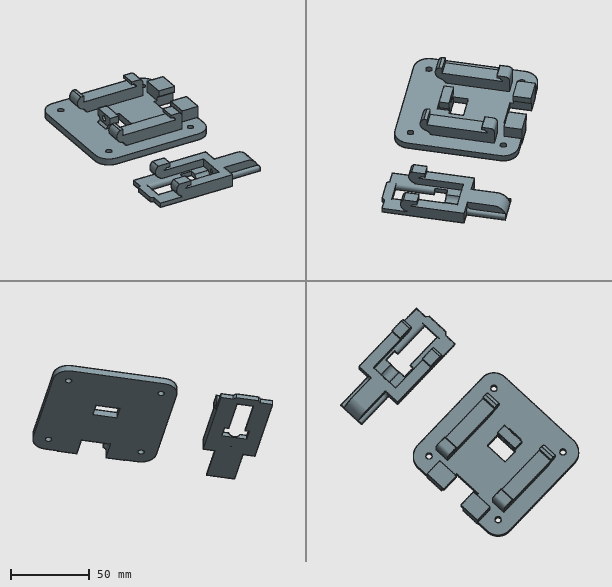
import cadquery as cq
import math

plate_size = 80.0
plate_thickness = 4.5
plate_corner_radius = 10.0
screw_spacing = 60.0
screw_diameter = 4.0

notch_half_width = 9.4
notch_front_y = 26.4
block_inner_x = 7.4
block_outer_x = 21.85
block_front_y = 28.7
block_rear_y = 40.4
block_top_z = 12.5

channel_radius = 2.15
channel_x = notch_half_width - channel_radius
channel_z = 6.0

rail_center_x = 24.45
rail_width = 10.0
rail_top_z = 16.8
rail_floor_z = 12.5
rail_rear_y = 24.1
rail_rear_radius = 2.8
rail_hook_tip_y = 15.9
rail_hook_tip_thickness = 2.0
rail_hook_flat = 1.8
rail_throat_y = 19.4
rail_lip_y = -19.3
rail_nose_y = -23.9
rail_nose_radius = 5.0

rail_hollow_top_z = 7.8
rail_hollow_mid = (-18.2, 6.3)
rail_foot_y = -17.1

window_half_width = 7.75
window_rear_y = -0.2
lug_half_width = 7.6
lug_rear_y = -9.6
lug_front_y = -15.9
lug_top_z = 13.0
lug_hole_diameter = 3.5
lug_hole_z = 9.3
lug_foot_y = -17.7
lug_foot_rise = 1.4

latch_center_x = 84.57
latch_half_width = 16.8
latch_base_thickness = 3.2
latch_frame_height = 8.5
latch_shoulder_y = 18.9
latch_front_y = -34.2

nub_front_y = -36.0
nub_back_half_width = 8.8
nub_front_half_width = 7.2

recess_half_width = 9.63
recess_rear_y = 13.1
opening_half_width = 8.04
opening_rear_y = 3.2
slot_top_half_width = 7.4
slot_half_width = 5.3
slot_rear_y = -4.8
slot_front_y = -29.8
slot_edge_radius = slot_top_half_width - slot_half_width

spring_seat_radius = 3.85
spring_axis_z = 4.5
spring_pin_diameter = 2.5
spring_pin_depth = 5.0

tongue_half_width = 6.2
tongue_tip_y = plate_size / 2 + 3.94
tongue_nose_radius = 8.57
rod_outer_x = 9.07
rod_edge_radius = 1.6
rod_top_z = 3.0
rod_bend_radius = 2.7

hook_top_z = 13.0
hook_tip_y = -11.6
hook_tip_thickness = 3.0
hook_flat = 2.4
hook_throat_y = -15.5
hook_nose_y = -22.2
hook_nose_z = 8.9
hook_nose_radius = 5.3
hook_hollow_top_z = 4.2
hook_hollow_mid = (-18.8, 3.85)
hook_foot_y = -18.2


def box(x0, x1, y0, y1, z0, z1):
    """Block between two opposite corners."""
    return cq.Workplane("XY").box(x1 - x0, y1 - y0, z1 - z0, centered=False).translate((x0, y0, z0))


def bar_along_y(x, z, radius, y0, y1):
    """Cylinder parallel to Y."""
    return cq.Workplane("XZ", origin=(0, y0, 0)).center(x, z).circle(radius).extrude(y0 - y1)


def nose_y(tip_y, center_z, radius, z):
    """Y at height z on a round nose whose tip is at (tip_y, center_z)."""
    return tip_y + radius - math.sqrt(radius**2 - (z - center_z) ** 2)


def make_rail(center_x):
    """Rail with an undercut hook at the rear and a round-nosed lip at the front."""
    nose_top_y = nose_y(rail_nose_y, rail_floor_z, rail_nose_radius, rail_top_z)
    hollow_top_y = nose_y(rail_nose_y, rail_floor_z, rail_nose_radius, rail_hollow_top_z)
    hook_under_z = rail_top_z - rail_hook_tip_thickness
    hook_flat_y = rail_hook_tip_y + rail_hook_flat
    slope_foot_z = hook_under_z - (rail_throat_y - hook_flat_y)
    arc_shift = rail_rear_radius * (1 - math.sqrt(0.5))
    profile = (
        cq.Workplane("YZ", origin=(center_x - rail_width / 2, 0, 0))
        .moveTo(rail_rear_y, plate_thickness)
        .lineTo(rail_rear_y, rail_top_z - rail_rear_radius)
        .threePointArc(
            (rail_rear_y - arc_shift, rail_top_z - arc_shift),
            (rail_rear_y - rail_rear_radius, rail_top_z),
        )
        .lineTo(rail_hook_tip_y, rail_top_z)
        .lineTo(rail_hook_tip_y, hook_under_z)
        .lineTo(hook_flat_y, hook_under_z)
        .lineTo(rail_throat_y, slope_foot_z)
        .lineTo(rail_throat_y, rail_floor_z)
        .lineTo(rail_lip_y, rail_floor_z)
        .lineTo(rail_lip_y, rail_top_z)
        .lineTo(nose_top_y, rail_top_z)
        .threePointArc((rail_nose_y, rail_floor_z), (hollow_top_y, rail_hollow_top_z))
        .threePointArc(rail_hollow_mid, (rail_foot_y, plate_thickness))
        .close()
    )
    return profile.extrude(rail_width)


def make_lug():
    """Drilled lug with a sloped foot, hollowed along both lower sides."""
    foot_top_z = plate_thickness + lug_foot_rise
    lug = (
        cq.Workplane("YZ", origin=(-lug_half_width, 0, 0))
        .moveTo(lug_rear_y, plate_thickness)
        .lineTo(lug_rear_y, lug_top_z)
        .lineTo(lug_front_y, lug_top_z)
        .lineTo(lug_front_y, foot_top_z)
        .lineTo(lug_foot_y, plate_thickness)
        .close()
        .extrude(2 * lug_half_width)
    )
    lug = lug.cut(bar_along_y(0, lug_hole_z, lug_hole_diameter / 2, lug_foot_y, lug_rear_y))
    for side in (-1, 1):
        x0, x1 = sorted((side * (channel_x - channel_radius), side * notch_half_width))
        lug = lug.cut(bar_along_y(side * channel_x, channel_z, channel_radius, lug_foot_y, lug_rear_y))
        lug = lug.cut(box(x0, x1, lug_foot_y, lug_rear_y, plate_thickness, channel_z))
    return lug


def make_base():
    """Plate with guide blocks, clamping rails, window and lug."""
    base = (
        cq.Workplane("XY")
        .rect(plate_size, plate_size)
        .extrude(plate_thickness)
        .edges("|Z")
        .fillet(plate_corner_radius)
    )
    for side in (-1, 1):
        x0, x1 = sorted((side * block_inner_x, side * block_outer_x))
        base = base.union(box(x0, x1, block_front_y, block_rear_y, 0, block_top_z))
    base = base.cut(box(-notch_half_width, notch_half_width, notch_front_y, block_rear_y, 0, channel_z))
    for side in (-1, 1):
        base = base.cut(bar_along_y(side * channel_x, channel_z, channel_radius, block_front_y, block_rear_y))
        base = base.union(make_rail(side * rail_center_x))
    base = base.cut(
        box(-window_half_width, window_half_width, lug_rear_y, window_rear_y, 0, plate_thickness)
    )
    base = base.union(make_lug())
    screw_holes = (
        cq.Workplane("XY")
        .rect(screw_spacing, screw_spacing, forConstruction=True)
        .vertices()
        .circle(screw_diameter / 2)
        .extrude(plate_thickness)
    )
    return base.cut(screw_holes)


def make_hook(x0, x1):
    """Frame side arm between x0 and x1, ending in a hook at the front."""
    nose_top_y = nose_y(hook_nose_y, hook_nose_z, hook_nose_radius, hook_top_z)
    hollow_top_y = nose_y(hook_nose_y, hook_nose_z, hook_nose_radius, hook_hollow_top_z)
    hook_under_z = hook_top_z - hook_tip_thickness
    profile = (
        cq.Workplane("YZ", origin=(x0, 0, 0))
        .moveTo(latch_shoulder_y, 0)
        .lineTo(latch_shoulder_y, latch_frame_height)
        .lineTo(hook_throat_y, latch_frame_height)
        .lineTo(hook_tip_y - hook_flat, hook_under_z)
        .lineTo(hook_tip_y, hook_under_z)
        .lineTo(hook_tip_y, hook_top_z)
        .lineTo(nose_top_y, hook_top_z)
        .threePointArc((hook_nose_y, hook_nose_z), (hollow_top_y, hook_hollow_top_z))
        .threePointArc(hook_hollow_mid, (hook_foot_y, latch_base_thickness))
        .lineTo(hook_foot_y, 0)
        .close()
    )
    return profile.extrude(x1 - x0)


def make_tongue():
    """Tongue whose tip is an arc centred on its bottom face."""
    nose_center_y = tongue_tip_y - tongue_nose_radius
    top_end_angle = math.asin(latch_frame_height / tongue_nose_radius)
    mid_angle = top_end_angle / 2
    nose_mid = (
        nose_center_y + tongue_nose_radius * math.cos(mid_angle),
        tongue_nose_radius * math.sin(mid_angle),
    )
    nose_end = (nose_center_y + tongue_nose_radius * math.cos(top_end_angle), latch_frame_height)
    return (
        cq.Workplane("YZ", origin=(-tongue_half_width, 0, 0))
        .moveTo(latch_shoulder_y, 0)
        .lineTo(tongue_tip_y, 0)
        .threePointArc(nose_mid, nose_end)
        .lineTo(latch_shoulder_y, latch_frame_height)
        .close()
        .extrude(2 * tongue_half_width)
    )


def rod_section(side, y):
    """Section of the rod on one side of the tongue: a flat bar with a rounded outer top edge."""
    arc_shift = rod_edge_radius * (1 - math.sqrt(0.5))
    flat_x = rod_outer_x - rod_edge_radius
    edge_z = rod_top_z - rod_edge_radius
    return (
        cq.Workplane("XZ", origin=(0, y, 0))
        .moveTo(side * tongue_half_width, 0)
        .lineTo(side * rod_outer_x, 0)
        .lineTo(side * rod_outer_x, edge_z)
        .threePointArc((side * (rod_outer_x - arc_shift), rod_top_z - arc_shift), (side * flat_x, rod_top_z))
        .lineTo(side * tongue_half_width, rod_top_z)
        .close()
    )


def make_rod(side):
    """Rod that bends upward where it meets the frame."""
    bend_y = latch_shoulder_y + rod_bend_radius
    bend_z = rod_top_z + rod_bend_radius
    straight = rod_section(side, bend_y).extrude(bend_y - tongue_tip_y)
    bend = rod_section(side, bend_y).revolve(90, (1, bend_z, 0), (-1, bend_z, 0))
    bend_room = box(-rod_outer_x, rod_outer_x, latch_shoulder_y, bend_y, 0, bend_z)
    foot = rod_section(side, bend_y).extrude(rod_bend_radius)
    return straight.union(bend.intersect(bend_room)).union(foot)


def make_slot():
    """Front slot whose long top edges are rounded over."""
    slot = box(-slot_half_width, slot_half_width, slot_front_y, slot_rear_y, 0, latch_base_thickness)
    flare = box(
        -slot_top_half_width, slot_top_half_width, slot_front_y, slot_rear_y,
        latch_base_thickness - slot_edge_radius, latch_base_thickness,
    )
    for side in (-1, 1):
        rounding = bar_along_y(
            side * slot_top_half_width,
            latch_base_thickness - slot_edge_radius,
            slot_edge_radius,
            slot_front_y,
            slot_rear_y,
        )
        flare = flare.cut(rounding)
    return slot.union(flare)


def make_latch():
    """Sliding latch: thin base, raised frame, hooks, tongue and rods."""
    latch = box(
        -latch_half_width, latch_half_width, latch_front_y, latch_shoulder_y, 0, latch_base_thickness
    )
    nub = (
        cq.Workplane("XY")
        .moveTo(-nub_back_half_width, latch_front_y)
        .lineTo(-nub_front_half_width, nub_front_y)
        .lineTo(nub_front_half_width, nub_front_y)
        .lineTo(nub_back_half_width, latch_front_y)
        .close()
        .extrude(latch_base_thickness)
    )
    rear_bar = box(
        -latch_half_width, latch_half_width, recess_rear_y, latch_shoulder_y, 0, latch_frame_height
    )
    latch = latch.union(nub).union(rear_bar)
    latch = latch.union(make_hook(-latch_half_width, -recess_half_width))
    latch = latch.union(make_hook(recess_half_width, latch_half_width))
    latch = latch.union(make_tongue())
    for side in (-1, 1):
        latch = latch.union(make_rod(side))
    latch = latch.cut(
        box(-opening_half_width, opening_half_width, slot_rear_y, opening_rear_y, 0, latch_base_thickness)
    )
    latch = latch.cut(make_slot())
    latch = latch.cut(bar_along_y(0, spring_axis_z, spring_seat_radius, opening_rear_y, recess_rear_y))
    pin_end_y = recess_rear_y + spring_pin_depth
    latch = latch.cut(bar_along_y(0, spring_axis_z, spring_pin_diameter / 2, recess_rear_y, pin_end_y))
    return latch.translate((latch_center_x, 0, 0))


base = make_base()
latch = make_latch()
result = cq.Compound.makeCompound([base.val(), latch.val()])